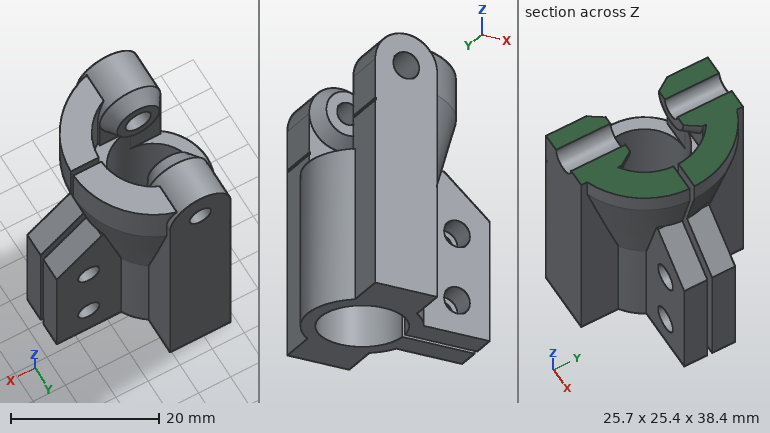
import cadquery as cq

bore_radius = 6.35
tube_radius = 8.35
low_rim_z = 22.65
slit_width = 0.73

collar_radius = 12.7
collar_start_x = 3.4
flare_bottom_z = 15.0
flare_top_z = 30.97
collar_top_z = 37.05
seat_z = 27.8

total_height = 38.43
arm_radius = 4.73
total_width = 25.4
arm_outer_y = total_width / 2
arm_inner_y = bore_radius
pivot_z = total_height - arm_radius
boss_tip_y = 4.15
boss_tip_radius = 3.25
groove_height = 0.23
groove_depth = 0.1

flange_start_x = 6.9
flange_end_x = 17.37
flange_half_thickness = 4.0
flange_corner_z = 17.95
flange_peak_x = 10.38
flange_peak_z = 23.9
flange_hole_x = 12.37
flange_hole_heights = (5.0, 15.0)

wide_hole_diameter = 3.95
narrow_hole_diameter = 3.3


def ring(height):
    return cq.Workplane("XY").circle(tube_radius).circle(bore_radius).extrude(height)


def block(x_range, y_range, z_range):
    ranges = (x_range, y_range, z_range)
    sizes = [high - low for low, high in ranges]
    corner = tuple(low for low, high in ranges)
    return cq.Workplane("XY").box(*sizes, centered=False).translate(corner)


def keep_between(shape, start_x, end_x):
    """Slice of a shape between two planes square to X."""
    return shape.intersect(
        block((start_x, end_x), (-total_height, total_height), (0, total_height))
    )


def make_flared_tube():
    """Tube with a conical flare, a cylindrical collar and a stepped bore."""
    profile = [
        (bore_radius, 0),
        (tube_radius, 0),
        (tube_radius, flare_bottom_z),
        (collar_radius, flare_top_z),
        (collar_radius, collar_top_z),
        (tube_radius, collar_top_z),
        (tube_radius, seat_z),
        (bore_radius, seat_z),
    ]
    return cq.Workplane("XZ").polyline(profile).close().revolve(360, (0, 0, 0), (0, 1, 0))


def make_tube():
    """Low rim at -X, higher seat in the middle and flared collar at +X."""
    low_part = keep_between(ring(low_rim_z), -collar_radius, 0)
    middle_part = keep_between(ring(seat_z), 0, collar_start_x)
    flared_part = keep_between(make_flared_tube(), collar_start_x, collar_radius)
    return low_part.union(middle_part).union(flared_part)


def make_flange():
    """Both clamping flanges as one plate, before the slit divides it."""
    return (
        cq.Workplane("XZ")
        .polyline([
            (flange_start_x, 0),
            (flange_end_x, 0),
            (flange_end_x, flange_corner_z),
            (flange_peak_x, flange_peak_z),
            (flange_start_x, flange_peak_z),
        ])
        .close()
        .extrude(flange_half_thickness, both=True)
    )


def make_arm():
    """Round-topped +Y arm with a conical boss facing the tube axis."""
    arm = (
        cq.Workplane("XZ", origin=(0, arm_outer_y, 0))
        .moveTo(-arm_radius, 0)
        .lineTo(arm_radius, 0)
        .lineTo(arm_radius, pivot_z)
        .threePointArc((0, total_height), (-arm_radius, pivot_z))
        .close()
        .extrude(arm_outer_y - arm_inner_y)
    )
    boss = (
        cq.Workplane("XZ", origin=(0, arm_inner_y, pivot_z))
        .circle(arm_radius)
        .workplane(offset=arm_inner_y - boss_tip_y)
        .circle(boss_tip_radius)
        .loft()
    )
    groove = block(
        (-arm_radius, groove_depth - arm_radius),
        (arm_inner_y, arm_outer_y),
        (seat_z - groove_height, seat_z),
    )
    return arm.union(boss).cut(groove)


def make_bolt_hole(x, z):
    """Wide hole through the -Y side and narrow hole through the +Y side."""
    narrow = cq.Workplane("XZ", origin=(x, 0, z)).circle(narrow_hole_diameter / 2).extrude(-arm_outer_y)
    wide = cq.Workplane("XZ", origin=(x, 0, z)).circle(wide_hole_diameter / 2).extrude(arm_outer_y)
    return narrow.union(wide)


body = make_tube().union(make_flange())
body = body.cut(block((0, flange_end_x), (-slit_width / 2, slit_width / 2), (0, collar_top_z)))
for hole_z in flange_hole_heights:
    body = body.cut(make_bolt_hole(flange_hole_x, hole_z))

arm = make_arm()
body = body.union(arm).union(arm.mirror("XZ"))
result = body.cut(make_bolt_hole(0, pivot_z))